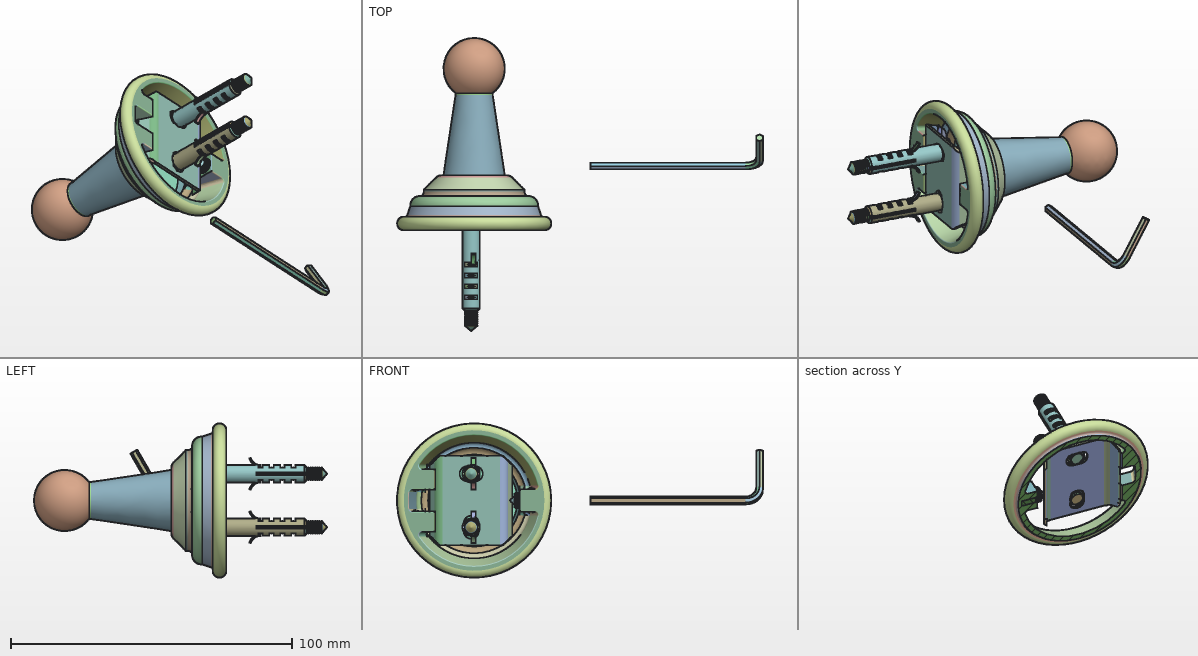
import cadquery as cq
import math


RIM_RADIUS = 27.5
RIM_THICKNESS = 5.0
SKIRT_RADIUS = 23.8
SKIRT_FILLET = 0.5
SHOULDER_RADIUS = 22.8
SHOULDER_Y = 8.6
STEP_RADIUS = 18.8
STEP_Y = 12.2
CONE_RADIUS = 18.0
CONE_Y = 14.5
BAND_Y = 13.8
BAND_FILLET = 2.0
TOP_RADIUS = 13.5
TOP_ROUND = 2.7
HOUSING_HEIGHT = 19.7
MOUTH_RADIUS = 23.3
CAVITY_NECK_RADIUS = 20.6
CAVITY_NECK_Y = 8.9
CAVITY_STEP_RADIUS = 18.8
CAVITY_STEP_Y = 10.7
CAVITY_ROUND = 2.3
FLOOR_RADIUS = 15.4
FLOOR_Y = 15.6
MOUTH_FILLET = 0.4
ROOT_FILLET = 1.0

NECK_BASE_RADIUS = 11.0
NECK_TOP_RADIUS = 6.6
COLLAR_LENGTH = 0.7
BALL_RADIUS = 11.0
BALL_Y = 57.6

PLATE_X = -1.0
PLATE_HEIGHT = 31.8
PLATE_THICKNESS = 1.0
WEB_HALF_WIDTH = 10.3
BEND_RADIUS = 3.0
BEND_ANGLE = 67.0
LEG_LENGTH = 4.2
CORNER_REACH = 27.2
SLOT_LENGTH = 8.2
SLOT_WIDTH = 5.3

RIB_WIDTH = 7.3
RIB_Z = 7.5
RIB_END_X = -13.7
RIB_FOOT_X = -17.5
BOSS_WIDTH = 8.1
BOSS_END_X = 16.2

ANCHOR_Z = 9.5
DOWEL_RADIUS = 3.1
DOWEL_LENGTH = 28.4
DOWEL_CHAMFER = 0.7
SPLIT_START = 10.7
SPLIT_WIDTH = 0.9
NOTCH_DEPTH = 0.9
NOTCH_WIDTH = 1.4
NOTCH_START = 12.1
NOTCH_PITCH = 3.9
NOTCH_COUNT = 4
WING_X = 0.8
WING_WIDTH = 1.5
WING_THICKNESS = 0.5
WING_RADIUS = 4.2
WING_ANGLE = 72.0
SHANK_RADIUS = 2.3
THREAD_ROOT_RADIUS = 1.8
THREAD_PITCH = 0.8
THREAD_COUNT = 30
SCREW_TIP_Y = -35.8
TIP_LENGTH = 1.5

SET_SCREW_RADIUS = 2.7
SET_SCREW_ROOT_RADIUS = 2.3
SET_SCREW_TIP_RADIUS = 1.7
SET_SCREW_Y = 3.4
SET_SCREW_LENGTH = 7.8
SET_SCREW_PITCH = 0.8

KEY_FLATS = 2.5
KEY_LONG = 60.2
KEY_SHORT = 20.0
KEY_BEND_RADIUS = 5.0
OVERALL_LENGTH = 130.2
KEY_Y = 22.9
KEY_TILT = 30.0


def turned(outline):
    """Revolve an (r, y) outline about the Y axis."""
    return outline.close().revolve(360, (0, 0, 0), (0, 1, 0))


def arc_middle(start, end, centre):
    """Middle point of the short arc about centre from start to end."""
    radius = math.dist(start, centre)
    dx = (start[0] + end[0]) / 2 - centre[0]
    dy = (start[1] + end[1]) / 2 - centre[1]
    reach = math.hypot(dx, dy)
    return (centre[0] + dx * radius / reach, centre[1] + dy * radius / reach)


def make_cavity():
    neck = (CAVITY_NECK_RADIUS, CAVITY_NECK_Y)
    step = (CAVITY_STEP_RADIUS, CAVITY_STEP_Y)
    shoulder = arc_middle(neck, step, (CAVITY_STEP_RADIUS, CAVITY_NECK_Y))
    wall = (CAVITY_STEP_RADIUS - CAVITY_ROUND, CAVITY_STEP_Y + CAVITY_ROUND)
    outline = (
        cq.Workplane("XY")
        .lineTo(MOUTH_RADIUS, 0)
        .lineTo(*neck)
        .threePointArc(shoulder, step)
        .radiusArc(wall, -CAVITY_ROUND)
        .lineTo(FLOOR_RADIUS, FLOOR_Y)
        .lineTo(0, FLOOR_Y)
    )
    return turned(outline)


def make_ribs():
    """Two ribs whose ends slope with the leg of the wall plate, and the boss."""
    slope_depth = (RIB_END_X - RIB_FOOT_X) * math.tan(math.radians(BEND_ANGLE))
    outline = [
        (-RIM_RADIUS, 0),
        (RIB_END_X, 0),
        (RIB_FOOT_X, slope_depth),
        (RIB_FOOT_X, FLOOR_Y),
        (-RIM_RADIUS, FLOOR_Y),
    ]
    rib = cq.Workplane("XY").polyline(outline).close().extrude(RIB_WIDTH / 2, both=True)
    boss = (
        cq.Workplane("XY")
        .box(RIM_RADIUS - BOSS_END_X, FLOOR_Y, BOSS_WIDTH, centered=(False, False, True))
        .translate((BOSS_END_X, 0, 0))
    )
    return boss.add(rib.translate((0, 0, RIB_Z))).add(rib.translate((0, 0, -RIB_Z)))


def root_edges(housing):
    """Edges where the sides of ribs and boss run into the cavity wall."""
    sides = [BOSS_WIDTH / 2, RIB_Z - RIB_WIDTH / 2, RIB_Z + RIB_WIDTH / 2]
    return [
        edge
        for edge in housing.edges().vals()
        if edge.geomType() not in ("LINE", "CIRCLE")
        and any(abs(abs(edge.Center().z) - side) < 0.01 for side in sides)
    ]


def make_housing():
    rim_round = RIM_THICKNESS / 2
    top_round_y = HOUSING_HEIGHT - TOP_ROUND * (1 - math.cos(math.pi / 4))
    shoulder_start = (SHOULDER_RADIUS, SHOULDER_Y)
    shoulder_end = (STEP_RADIUS, STEP_Y)
    shoulder = arc_middle(shoulder_start, shoulder_end, (STEP_RADIUS, SHOULDER_Y))
    outline = (
        cq.Workplane("XY")
        .lineTo(RIM_RADIUS - rim_round, 0)
        .threePointArc((RIM_RADIUS, rim_round), (RIM_RADIUS - rim_round, RIM_THICKNESS))
        .lineTo(SKIRT_RADIUS + SKIRT_FILLET, RIM_THICKNESS)
        .radiusArc((SKIRT_RADIUS, RIM_THICKNESS + SKIRT_FILLET), SKIRT_FILLET)
        .lineTo(*shoulder_start)
        .threePointArc(shoulder, shoulder_end)
        .radiusArc((CONE_RADIUS, BAND_Y), BAND_FILLET)
        .lineTo(CONE_RADIUS, CONE_Y)
        .lineTo(TOP_RADIUS, top_round_y)
        .radiusArc((TOP_RADIUS - TOP_ROUND * math.sin(math.pi / 4), HOUSING_HEIGHT), -TOP_ROUND)
        .lineTo(0, HOUSING_HEIGHT)
    )
    cavity = make_cavity()
    for rib in make_ribs().vals():
        cavity = cavity.cut(cq.Workplane(rib))
    housing = turned(outline).cut(cavity)
    housing = housing.newObject(root_edges(housing)).fillet(ROOT_FILLET)
    mouth = housing.faces("<Y").val().innerWires()[0]
    housing = housing.newObject(mouth.Edges()).fillet(MOUTH_FILLET)
    return housing.cut(make_set_screw_blank())


def make_knob():
    neck_top_y = BALL_Y - math.sqrt(BALL_RADIUS**2 - NECK_TOP_RADIUS**2)
    outline = (
        cq.Workplane("XY")
        .moveTo(0, HOUSING_HEIGHT)
        .lineTo(NECK_BASE_RADIUS, HOUSING_HEIGHT)
        .lineTo(NECK_TOP_RADIUS, neck_top_y - COLLAR_LENGTH)
        .lineTo(NECK_TOP_RADIUS, neck_top_y)
        .threePointArc((BALL_RADIUS, BALL_Y), (0, BALL_Y + BALL_RADIUS))
    )
    return turned(outline)


def make_plate():
    """Flat web with two legs bent back and outward, open at the back."""
    angle = math.radians(BEND_ANGLE)
    inner_radius = BEND_RADIUS - PLATE_THICKNESS

    def on_bend(radius, turn):
        return (WEB_HALF_WIDTH + radius * math.sin(turn), BEND_RADIUS - radius * math.cos(turn))

    def leg_end(radius):
        x, y = on_bend(radius, angle)
        return (x + LEG_LENGTH * math.cos(angle), y + LEG_LENGTH * math.sin(angle))

    half = (
        cq.Workplane("XY")
        .lineTo(WEB_HALF_WIDTH, 0)
        .threePointArc(on_bend(BEND_RADIUS, angle / 2), on_bend(BEND_RADIUS, angle))
        .lineTo(*leg_end(BEND_RADIUS))
        .lineTo(*leg_end(inner_radius))
        .lineTo(*on_bend(inner_radius, angle))
        .threePointArc(on_bend(inner_radius, angle / 2), on_bend(inner_radius, 0))
        .lineTo(0, PLATE_THICKNESS)
        .close()
        .extrude(PLATE_HEIGHT / 2, both=True)
    )
    plate = half.union(half.mirror("YZ"))
    corner_limit = (
        cq.Workplane("XZ")
        .polyline([(CORNER_REACH, 0), (0, CORNER_REACH), (-CORNER_REACH, 0), (0, -CORNER_REACH)])
        .close()
        .extrude(-FLOOR_Y)
    )
    plate = plate.intersect(corner_limit)
    for z, turn in ((ANCHOR_Z, 0), (-ANCHOR_Z, 90)):
        slot = cq.Workplane("XZ").center(0, z).slot2D(SLOT_LENGTH, SLOT_WIDTH, turn)
        plate = plate.cut(slot.extrude(-PLATE_THICKNESS))
    return plate.translate((PLATE_X, 0, 0))


def make_wing():
    """Curved barb on the +Z side of a dowel, springing from the first notch."""
    start_y = -NOTCH_START
    start_z = DOWEL_RADIUS - WING_THICKNESS
    centre_z = start_z + WING_RADIUS

    def on_arc(radius, turn):
        turn = math.radians(turn)
        return (start_y + radius * math.sin(turn), centre_z - radius * math.cos(turn))

    inner_radius = WING_RADIUS - WING_THICKNESS
    return (
        cq.Workplane("YZ")
        .moveTo(*on_arc(WING_RADIUS, 0))
        .threePointArc(on_arc(WING_RADIUS, WING_ANGLE / 2), on_arc(WING_RADIUS, WING_ANGLE))
        .lineTo(*on_arc(inner_radius, WING_ANGLE))
        .threePointArc(on_arc(inner_radius, WING_ANGLE / 2), on_arc(inner_radius, 0))
        .close()
        .extrude(WING_WIDTH / 2, both=True)
        .translate((WING_X, 0, 0))
    )


def make_dowel(z):
    """Split and notched sleeve with two barbs."""
    diameter = 2 * DOWEL_RADIUS
    dowel = cq.Workplane("XZ").circle(DOWEL_RADIUS).circle(SHANK_RADIUS).extrude(DOWEL_LENGTH)
    outer_edge = cq.selectors.RadiusNthSelector(1)
    dowel = dowel.faces("<Y").edges("%CIRCLE").edges(outer_edge).chamfer(DOWEL_CHAMFER)
    split_length = DOWEL_LENGTH - SPLIT_START
    split = cq.Workplane("XY").box(diameter, split_length, SPLIT_WIDTH)
    dowel = dowel.cut(split.translate((0, -SPLIT_START - split_length / 2, 0)))
    for side in (1, -1):
        for index in range(NOTCH_COUNT):
            notch = cq.Workplane("XY").box(diameter, NOTCH_WIDTH, 2 * NOTCH_DEPTH)
            y = -NOTCH_START - index * NOTCH_PITCH
            dowel = dowel.cut(notch.translate((0, y, side * DOWEL_RADIUS)))
    wing = make_wing()
    dowel = dowel.union(wing).union(wing.mirror("XY"))
    return dowel.translate((PLATE_X, 0, z))


def make_screw(z):
    """Shank through plate and dowel, with a threaded and pointed end."""
    thread_end = SCREW_TIP_Y + TIP_LENGTH
    outline = cq.Workplane("XY").moveTo(0, SCREW_TIP_Y).lineTo(THREAD_ROOT_RADIUS, thread_end)
    for index in range(THREAD_COUNT):
        start = thread_end + index * THREAD_PITCH
        outline = outline.lineTo(SHANK_RADIUS, start + THREAD_PITCH / 2)
        outline = outline.lineTo(THREAD_ROOT_RADIUS, start + THREAD_PITCH)
    outline = (
        outline
        .lineTo(SHANK_RADIUS, thread_end + THREAD_COUNT * THREAD_PITCH)
        .lineTo(SHANK_RADIUS, PLATE_THICKNESS)
        .lineTo(0, PLATE_THICKNESS)
    )
    return turned(outline).translate((PLATE_X, 0, z))


def set_screw_tip_x():
    """Where the axis of the set screw meets the outside of the leg."""
    angle = math.radians(BEND_ANGLE)
    bend_end_y = BEND_RADIUS * (1 - math.cos(angle))
    bend_end_x = PLATE_X + WEB_HALF_WIDTH + BEND_RADIUS * math.sin(angle)
    return bend_end_x + (SET_SCREW_Y - bend_end_y) / math.tan(angle)


def make_set_screw_blank():
    """Space of the set screw along +X, without its thread."""
    start = set_screw_tip_x() + SET_SCREW_TIP_RADIUS
    blank = cq.Workplane("YZ").circle(SET_SCREW_RADIUS).extrude(SET_SCREW_LENGTH)
    return blank.translate((start, SET_SCREW_Y, 0))


def make_set_screw():
    """Threaded where it stands free in front of the boss, pointed at the leg."""
    tip_x = set_screw_tip_x()
    start = tip_x + SET_SCREW_TIP_RADIUS
    thread_count = math.ceil((BOSS_END_X - start) / SET_SCREW_PITCH)
    outline = (
        cq.Workplane("XY")
        .moveTo(tip_x, 0)
        .lineTo(start, SET_SCREW_TIP_RADIUS)
        .lineTo(start, SET_SCREW_ROOT_RADIUS)
    )
    for index in range(thread_count):
        x = start + index * SET_SCREW_PITCH
        outline = outline.lineTo(x + SET_SCREW_PITCH / 2, SET_SCREW_RADIUS)
        outline = outline.lineTo(x + SET_SCREW_PITCH, SET_SCREW_ROOT_RADIUS)
    screw = (
        outline
        .lineTo(start + thread_count * SET_SCREW_PITCH, SET_SCREW_RADIUS)
        .lineTo(start + SET_SCREW_LENGTH, SET_SCREW_RADIUS)
        .lineTo(start + SET_SCREW_LENGTH, 0)
        .close()
        .revolve(360, (0, 0, 0), (1, 0, 0))
    )
    return screw.translate((0, SET_SCREW_Y, 0))


def make_hex_key():
    """Hex bar along +X with a round bend into the short arm, tilted about X."""
    corners = KEY_FLATS / math.cos(math.pi / 6)
    straight = KEY_LONG - KEY_BEND_RADIUS
    long_arm = cq.Workplane("YZ").polygon(6, corners).extrude(straight)
    bend = (
        cq.Workplane("YZ")
        .polygon(6, corners)
        .revolve(90, (1.3, KEY_BEND_RADIUS, 0), (-1.3, KEY_BEND_RADIUS, 0))
        .translate((straight, 0, 0))
    )
    short_arm = (
        cq.Workplane("XY")
        .transformed(rotate=(0, 0, 90))
        .polygon(6, corners)
        .extrude(KEY_SHORT - KEY_BEND_RADIUS)
        .translate((KEY_LONG, 0, KEY_BEND_RADIUS))
    )
    key = long_arm.union(bend).union(short_arm)
    key = key.rotate((0, 0, 0), (1, 0, 0), -KEY_TILT)
    start_x = OVERALL_LENGTH - RIM_RADIUS - KEY_FLATS / 2 - KEY_LONG
    return key.translate((start_x, KEY_Y, 0))


housing = make_housing()
knob = make_knob()
plate = make_plate()
dowels = [make_dowel(z) for z in (ANCHOR_Z, -ANCHOR_Z)]
screws = [make_screw(z) for z in (ANCHOR_Z, -ANCHOR_Z)]
set_screw = make_set_screw()
hex_key = make_hex_key()

result = cq.Compound.makeCompound(
    [
        housing.val(),
        knob.val(),
        plate.val(),
        *[dowel.val() for dowel in dowels],
        *[screw.val() for screw in screws],
        set_screw.val(),
        hex_key.val(),
    ]
)